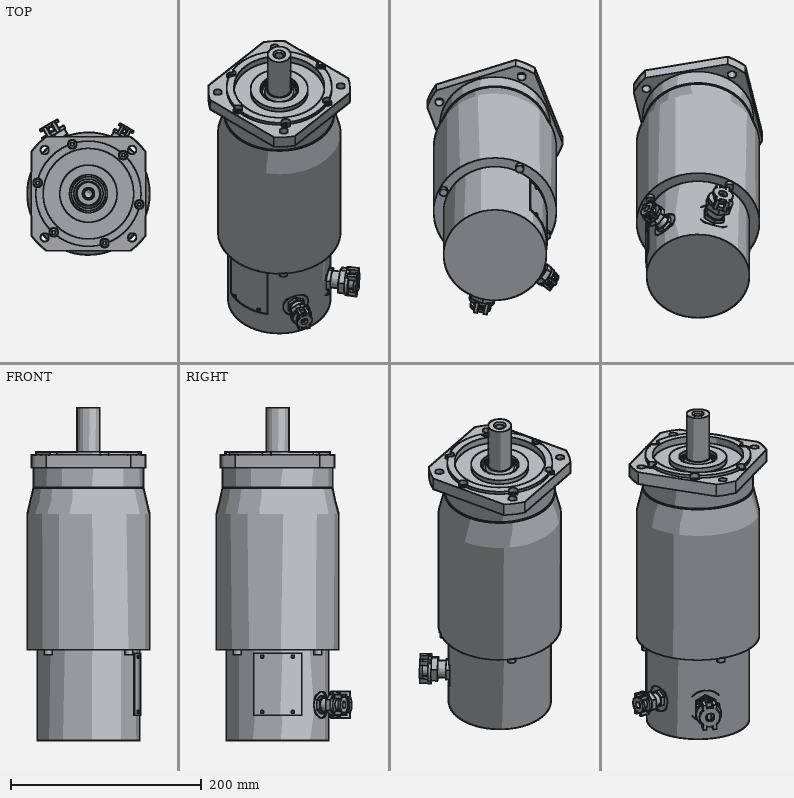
import cadquery as cq
import math

total_height = 349.5
barrel_bottom = 95.5
barrel_top = 237.7
neck_bottom = 265.0
flange_bottom = 286.3
flange_top = 300.0
pilot_top = 303.0

motor_radius = 108.0 / 2
barrel_radius = 129.0 / 2
neck_radius = 116.0 / 2
neck_groove_width = 1.0
neck_groove_depth = 0.7
shaft_radius = 24.0 / 2

flange_side = 120.0
flange_corner_radius = 74.5
flange_hole_spacing = 91.5
flange_hole_diameter = 8.7
pilot_radius = 55.2

recess_radius = 47.5
recess_floor = 295.5
boss_radius = 30.0
boss_top = 300.3
seal_bore_radius = 20.0
seal_bore_depth = 3.5
seal_step_radius = 18.0
seal_step_depth = 1.5
seal_lip_base_radius = 15.5
seal_lip_tip_radius = 13.0
seal_lip_top = 299.5

centre_hole_radius = 4.5
centre_hole_depth = 17.5
drill_point_angle = 118.0
centre_countersink_radius = 6.3
centre_countersink_depth = 1.7

screw_count = 6
screw_circle_radius = 54.5
screw_first_angle = 48.0
screw_pocket_radius = 9.5 / 2
screw_pocket_floor = 293.5
screw_head_radius = 4.2
screw_head_height = 4.2
screw_socket_size = 4.2
screw_socket_depth = 2.0

bolt_spacing = 84.5
bolt_head_diameter = 8.5
bolt_head_height = 5.2

plate_bottom = 27.0
plate_top = 91.5
plate_thickness = 0.7
plate_width = 50.5
plate_hole_diameter = 3.0
plate_hole_inset = 3.32
plate_hole_spacing = 32.0

connector_height = 37.8
spotface_distance = 52.0
spotface_diameter = 35.5
large_connector_angle = 120.0
small_connector_angle = 60.0
small_width_ratio = 0.78
small_length_ratio = 0.9


def cylinder(radius, bottom, top):
    return cq.Workplane("XY").workplane(offset=bottom).circle(radius).extrude(top - bottom)


def make_turned_body():
    groove_top = neck_bottom + neck_groove_width
    groove_radius = neck_radius - neck_groove_depth
    profile = (
        cq.Workplane("XZ")
        .moveTo(0, 0)
        .lineTo(motor_radius, 0)
        .lineTo(motor_radius, barrel_bottom)
        .lineTo(barrel_radius, barrel_bottom)
        .lineTo(barrel_radius, barrel_top)
        .lineTo(neck_radius, neck_bottom)
        .lineTo(groove_radius, neck_bottom)
        .lineTo(groove_radius, groove_top)
        .lineTo(neck_radius, groove_top)
        .lineTo(neck_radius, flange_bottom)
        .lineTo(0, flange_bottom)
        .close()
    )
    return profile.revolve(360, (0, 0, 0), (0, 1, 0))


def make_flange():
    thickness = flange_top - flange_bottom
    plate = cq.Workplane("XY").workplane(offset=flange_bottom)
    plate = plate.rect(flange_side, flange_side).extrude(thickness)
    plate = plate.intersect(cylinder(flange_corner_radius, flange_bottom, flange_top))
    flange = plate.union(cylinder(pilot_radius, flange_top, pilot_top))
    flange = flange.cut(cylinder(recess_radius, recess_floor, pilot_top))
    flange = flange.union(cylinder(boss_radius, recess_floor, boss_top))
    holes = (
        cq.Workplane("XY")
        .workplane(offset=flange_bottom)
        .rect(flange_hole_spacing, flange_hole_spacing, forConstruction=True)
        .vertices()
        .circle(flange_hole_diameter / 2)
        .extrude(thickness)
    )
    return flange.cut(holes)


def shape_seal(body):
    """Sinks the stepped seal seat into the boss and leaves a tapered sealing lip around the shaft."""
    seat = boss_top - seal_bore_depth
    floor = seat - seal_step_depth
    body = body.cut(cylinder(seal_bore_radius, seat, boss_top))
    body = body.cut(cylinder(seal_step_radius, floor, seat))
    lip = (
        cq.Workplane("XZ")
        .moveTo(0, floor)
        .lineTo(seal_lip_base_radius, floor)
        .lineTo(seal_lip_tip_radius, seal_lip_top)
        .lineTo(0, seal_lip_top)
        .close()
        .revolve(360, (0, 0, 0), (0, 1, 0))
    )
    return body.union(lip)


def make_shaft():
    shaft = cylinder(shaft_radius, flange_bottom, total_height)
    tip_depth = centre_hole_depth + centre_hole_radius / math.tan(math.radians(drill_point_angle / 2))
    centre_hole = (
        cq.Workplane("XZ")
        .moveTo(0, total_height)
        .lineTo(centre_countersink_radius, total_height)
        .lineTo(centre_hole_radius, total_height - centre_countersink_depth)
        .lineTo(centre_hole_radius, total_height - centre_hole_depth)
        .lineTo(0, total_height - tip_depth)
        .close()
        .revolve(360, (0, 0, 0), (0, 1, 0))
    )
    return shaft.cut(centre_hole)


def fit_flange_screws(body):
    head_top = screw_pocket_floor + screw_head_height
    for index in range(screw_count):
        angle = math.radians(screw_first_angle + index * 360 / screw_count)
        x = screw_circle_radius * math.cos(angle)
        y = screw_circle_radius * math.sin(angle)
        pocket = cylinder(screw_pocket_radius, screw_pocket_floor, pilot_top)
        head = cylinder(screw_head_radius, screw_pocket_floor, head_top)
        socket = (
            cq.Workplane("XY")
            .workplane(offset=head_top - screw_socket_depth)
            .polygon(6, screw_socket_size)
            .extrude(screw_socket_depth)
        )
        body = body.cut(pocket.translate((x, y, 0)))
        body = body.union(head.cut(socket).translate((x, y, 0)))
    return body


def make_bolt_heads():
    return (
        cq.Workplane("XY")
        .workplane(offset=barrel_bottom - bolt_head_height)
        .rect(bolt_spacing, bolt_spacing, forConstruction=True)
        .vertices()
        .circle(bolt_head_diameter / 2)
        .extrude(bolt_head_height)
    )


def make_nameplate():
    height = plate_top - plate_bottom
    middle = (plate_top + plate_bottom) / 2
    outer = motor_radius + plate_thickness
    sleeve = cylinder(outer, plate_bottom, plate_top)
    sleeve = sleeve.cut(cylinder(motor_radius, plate_bottom, plate_top))
    window = cq.Workplane("YZ").center(0, middle).rect(plate_width, height).extrude(outer)
    plate = sleeve.intersect(window)
    holes = (
        cq.Workplane("YZ")
        .center(0, middle)
        .rect(plate_hole_spacing, height - 2 * plate_hole_inset, forConstruction=True)
        .vertices()
        .circle(plate_hole_diameter / 2)
        .extrude(outer)
    )
    return plate.cut(holes)


def place_connector_part(part, angle):
    """Turns a part built along local Z, with local X upwards, to point outwards at the given angle."""
    return (
        part.rotate((0, 0, 0), (0, 1, 0), 90)
        .rotate((0, 0, 0), (1, 0, 0), 180)
        .rotate((0, 0, 0), (0, 0, 1), angle)
        .translate((0, 0, connector_height))
    )


def make_connector(width_ratio, length_ratio):
    """A connector along Z: mounting nut, neck, coupling nut and a four-bar socket cage."""
    nut_flats, nut_end = 21.0, 4.2
    neck_diameter, neck_end = 18.2, 13.0
    coupling_flats, coupling_end = 24.5, 19.5
    collar_diameter, collar_end = 26.5, 23.0
    core_diameter = 14.7
    end_ring_diameter, end_ring_start, end_ring_end = 21.7, 29.0, 31.8
    bar_spacing, bar_width, bar_depth = 10.5, 4.0, 5.5
    cage_height = 28.0
    socket_diameter, socket_depth = 9.0, 5.0
    cross_hole_diameter = 4.5

    def slab(sketch, start, end):
        return sketch.extrude((end - start) * length_ratio).translate((0, 0, start * length_ratio))

    def disc(diameter, start, end):
        return slab(cq.Workplane("XY").circle(diameter * width_ratio / 2), start, end)

    def hexagon(flats, start, end):
        corners = flats * width_ratio / math.cos(math.radians(30))
        return slab(cq.Workplane("XY").polygon(6, corners), start, end)

    connector = hexagon(nut_flats, 0, nut_end)
    connector = connector.union(disc(neck_diameter, nut_end, neck_end))
    connector = connector.union(hexagon(coupling_flats, neck_end, coupling_end))
    connector = connector.union(disc(collar_diameter, coupling_end, collar_end))
    connector = connector.union(disc(core_diameter, collar_end, end_ring_end))
    connector = connector.union(disc(end_ring_diameter, end_ring_start, end_ring_end))

    bars = cq.Workplane("XY")
    row_spacing = (cage_height - bar_depth) * width_ratio
    bars = bars.rect(row_spacing, bar_spacing * width_ratio, forConstruction=True)
    bars = bars.vertices().rect(bar_depth * width_ratio, bar_width * width_ratio)
    connector = connector.union(slab(bars, coupling_end, end_ring_end))

    connector = connector.cut(disc(socket_diameter, end_ring_end - socket_depth, end_ring_end))
    cross_hole_place = (collar_end + end_ring_start) / 2 * length_ratio
    cross_hole = (
        cq.Workplane("YZ")
        .center(0, cross_hole_place)
        .circle(cross_hole_diameter * width_ratio / 2)
        .extrude(cage_height, both=True)
    )
    return connector.cut(cross_hole)


def fit_connector(body, angle, width_ratio=1.0, length_ratio=1.0):
    spotface = cq.Workplane("XY").circle(spotface_diameter * width_ratio / 2).extrude(barrel_radius)
    spotface = spotface.translate((0, 0, spotface_distance))
    connector = make_connector(width_ratio, length_ratio).translate((0, 0, spotface_distance))
    body = body.cut(place_connector_part(spotface, angle))
    return body.union(place_connector_part(connector, angle))


result = make_turned_body().union(make_flange())
result = shape_seal(result).union(make_shaft())
result = fit_flange_screws(result)
result = result.union(make_bolt_heads()).union(make_nameplate())
result = fit_connector(result, large_connector_angle)
result = fit_connector(result, small_connector_angle, small_width_ratio, small_length_ratio)